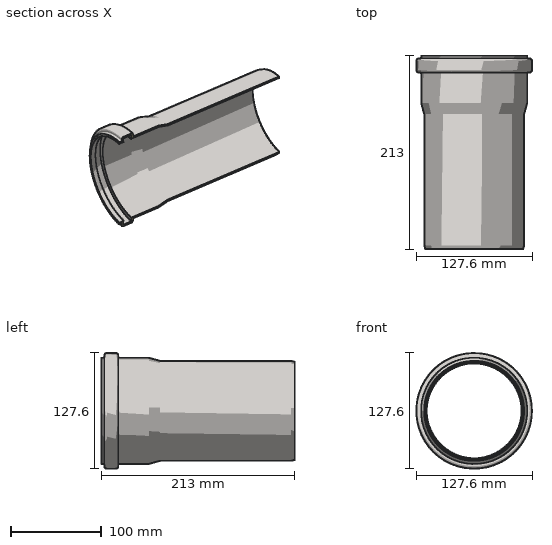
import cadquery as cq
import math

length = 213.0

spigot_outer_radius = 110.3 / 2
spigot_inner_radius = 104.3 / 2
lead_in_length = 4.2
lead_in_angle = 15.0
lead_in_end_radius = spigot_outer_radius - lead_in_length * math.tan(math.radians(lead_in_angle))

socket_wall = 2.9
socket_outer_radius = 117.1 / 2
socket_inner_radius = socket_outer_radius - socket_wall
socket_depth = 52.2
reducer_length = 12.3
socket_start = length - socket_depth
reducer_start = socket_start - reducer_length

bead_outer_radius = 127.6 / 2
bead_length = 15.6
bead_edge_radius = socket_wall
bead_root_radius = 1.0
groove_radius = bead_outer_radius - socket_wall

lip_length = 3.1
lip_edge_length = 0.6
lip_end_radius = 116.8 / 2
bead_end = length - lip_length
bead_start = bead_end - bead_length
groove_start = bead_start + socket_wall
groove_end = bead_end - socket_wall


def make_body():
    """Solid outer shape, revolved about the Y axis."""
    bead_crown_radius = bead_outer_radius - bead_edge_radius
    diagonal = math.sqrt(0.5)
    edge_offset = bead_edge_radius * diagonal
    root_offset = bead_root_radius * (1 - diagonal)
    profile = (
        cq.Workplane("XY")
        .moveTo(0, 0)
        .lineTo(lead_in_end_radius, 0)
        .lineTo(spigot_outer_radius, lead_in_length)
        .lineTo(spigot_outer_radius, reducer_start)
        .lineTo(socket_outer_radius, socket_start)
        .lineTo(socket_outer_radius, bead_start - bead_root_radius)
        .threePointArc(
            (socket_outer_radius + root_offset, bead_start - root_offset),
            (socket_outer_radius + bead_root_radius, bead_start),
        )
        .lineTo(bead_crown_radius, bead_start)
        .threePointArc(
            (bead_crown_radius + edge_offset, bead_start + bead_edge_radius - edge_offset),
            (bead_outer_radius, bead_start + bead_edge_radius),
        )
        .lineTo(bead_outer_radius, bead_end - bead_edge_radius)
        .threePointArc(
            (bead_crown_radius + edge_offset, bead_end - bead_edge_radius + edge_offset),
            (bead_crown_radius, bead_end),
        )
        .lineTo(socket_outer_radius + bead_root_radius, bead_end)
        .threePointArc(
            (socket_outer_radius + root_offset, bead_end + root_offset),
            (socket_outer_radius, bead_end + bead_root_radius),
        )
        .lineTo(socket_outer_radius, length - lip_edge_length)
        .lineTo(lip_end_radius, length)
        .lineTo(0, length)
        .close()
    )
    return profile.revolve(360, (0, 0, 0), (0, 1, 0))


def make_bore():
    """Stepped through bore with the seal groove, revolved about the Y axis."""
    profile = (
        cq.Workplane("XY")
        .moveTo(0, 0)
        .lineTo(spigot_inner_radius, 0)
        .lineTo(spigot_inner_radius, reducer_start)
        .lineTo(socket_inner_radius, socket_start)
        .lineTo(socket_inner_radius, groove_start)
        .lineTo(groove_radius, groove_start)
        .lineTo(groove_radius, groove_end)
        .lineTo(socket_inner_radius, groove_end)
        .lineTo(socket_inner_radius, length)
        .lineTo(0, length)
        .close()
    )
    return profile.revolve(360, (0, 0, 0), (0, 1, 0))


result = make_body().cut(make_bore())